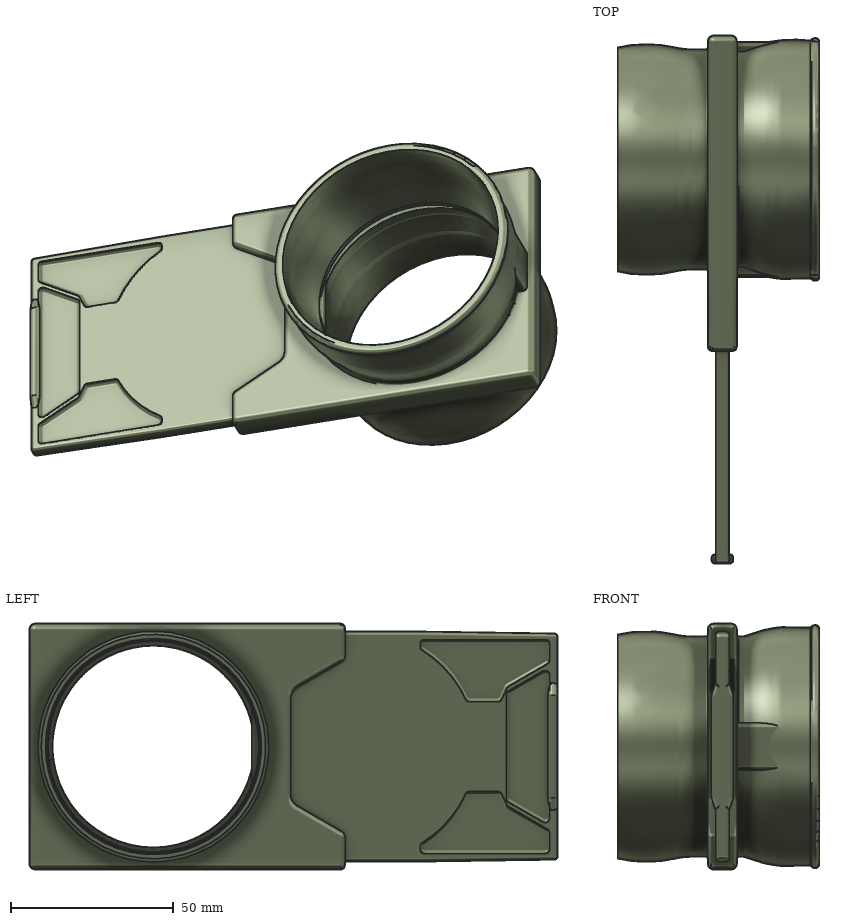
import cadquery as cq
import math


plate_half_thickness = 4.5
plate_half_height = 75.71 / 2
plate_back_y = 38.2
plate_front_y = -58.9
plate_round = 2.0
plate_front_round = 1.5

notch_depth = 16.7
notch_slope = math.radians(30)
notch_mouth_half_height = 26.7
notch_inner_round = 4.0
notch_outer_round = 2.0

bell_wall = 1.5
neck_radius = 33.95
root_round = 0.5
port_radius = 31.0

left_end_x = -32.2
left_end_radius = 34.5
barrel_crest_x = -22.5
barrel_crest_radius = 35.5
barrel_end_x = -14.7
barrel_end_radius = 34.55
flare_mid_x = -12.2
flare_mid_radius = 34.1
flare_end_x = -9.3
left_mouth_radius = 33.2
left_inner_crest_radius = 33.7
inner_barrel_end_x = -20.0
inner_barrel_end_radius = 33.3
inner_flare_end_x = -16.7
left_bore_radius = 32.7
bore_step_start_x = -6.7
bore_step_end_x = -5.5
bore_step_radius = 32.4

bell_start_x = 6.7
bell_crest_x = 22.0
bell_crest_radius = 36.95
right_end_x = left_end_x + 62.01
lip_width = 2.6
lip_radius = 37.4
lip_bead_radius = lip_width / 2
lip_root_round = 0.5
lip_start_x = right_end_x - lip_width

bump_half_height = 7.3
bump_reach = 36.2
bump_round = 1.5
bump_end_x = 20.0
bump_base_y = 30.0

recess_half_height = 4.0
recess_reach = 34.6
recess_end_x = 3.3

gate_half_thickness = 2.1
gate_half_height = 35.4
gate_tip_half_height = 34.8
gate_round = 1.15
gate_corner_round = 1.2
gate_inner_y = -30.2
gate_taper_y = -83.0
gate_outer_y = plate_back_y - 162.52
slot_back_y = 35.2

rail_half_thickness = 3.4
rail_width = 3.0
rail_half_height = 15.8
rail_foot_half_height = 19.6
rail_round = 1.4

pocket_depth = 1.3
pocket_floor_round = 1.2
pocket_corner_round = 1.35
pocket_outer_y = -121.8
side_pocket_inner_y = -82.0
side_pocket_top = 32.9
side_pocket_bottom = 13.8
pocket_arc_center_y = -64.4
pocket_arc_radius = 34.8
side_pocket_bottom_end_y = -106.7
side_pocket_knee = (-108.8, 18.3)
pocket_slope = math.radians(30)
middle_pocket_inner_y = -108.5
middle_pocket_inner_half_height = 16.7


def box(x0, x1, y0, y1, z0, z1):
    return cq.Workplane("XY").box(x1 - x0, y1 - y0, z1 - z0, centered=False).translate((x0, y0, z0))


def bell_height(x):
    """Outer radius of the bell at position x, on the arc through its start and its crest."""
    run = bell_crest_x - bell_start_x
    rise = bell_crest_radius - neck_radius
    arc_radius = (run**2 + rise**2) / (2 * rise)
    return bell_crest_radius - arc_radius + math.sqrt(arc_radius**2 - (x - bell_crest_x) ** 2)


def revolved(profile):
    """Solid of revolution about the pipe axis of a closed profile in the XY plane."""
    return profile.close().revolve(360, (0, 0), (1, 0))


def left_socket():
    return revolved(
        cq.Workplane("XY")
        .moveTo(0, 0)
        .lineTo(0, neck_radius)
        .lineTo(flare_end_x, neck_radius)
        .threePointArc((flare_mid_x, flare_mid_radius), (barrel_end_x, barrel_end_radius))
        .threePointArc((barrel_crest_x, barrel_crest_radius), (left_end_x, left_end_radius))
        .lineTo(left_end_x, 0)
    )


def left_bore():
    inner_crest_x = (left_end_x + inner_barrel_end_x) / 2
    return revolved(
        cq.Workplane("XY")
        .moveTo(0, 0)
        .lineTo(0, bore_step_radius)
        .lineTo(bore_step_end_x, bore_step_radius)
        .lineTo(bore_step_start_x, left_bore_radius)
        .lineTo(inner_flare_end_x, left_bore_radius)
        .lineTo(inner_barrel_end_x, inner_barrel_end_radius)
        .threePointArc((inner_crest_x, left_inner_crest_radius), (left_end_x, left_mouth_radius))
        .lineTo(left_end_x, 0)
    )


def bell():
    """Right-hand neck and bell, running into the middle of the lip."""
    end_x = right_end_x - lip_bead_radius
    middle_x = (bell_start_x + end_x) / 2
    return revolved(
        cq.Workplane("XY")
        .moveTo(0, 0)
        .lineTo(0, neck_radius)
        .lineTo(bell_start_x, neck_radius)
        .threePointArc((middle_x, bell_height(middle_x)), (end_x, bell_height(end_x)))
        .lineTo(end_x, 0)
    )


def bell_bore():
    """Inside of the bell, following its outer arc one wall thickness below it."""
    middle_x = right_end_x / 2
    return revolved(
        cq.Workplane("XY")
        .moveTo(0, 0)
        .lineTo(0, bell_height(0) - bell_wall)
        .threePointArc(
            (middle_x, bell_height(middle_x) - bell_wall), (right_end_x, bell_height(right_end_x) - bell_wall)
        )
        .lineTo(right_end_x, 0)
    )


def lip():
    bead_center = lip_radius - lip_bead_radius
    return revolved(
        cq.Workplane("XY")
        .moveTo(lip_start_x, 0)
        .lineTo(lip_start_x, bead_center)
        .threePointArc((lip_start_x + lip_bead_radius, lip_radius), (right_end_x, bead_center))
        .lineTo(right_end_x, 0)
    )


def x_cylinder(radius, start_x, end_x):
    return cq.Workplane("YZ").workplane(offset=start_x).circle(radius).extrude(end_x - start_x)


def near(point, reach=0.1):
    """Selector for what has its center close to a point."""
    return cq.selectors.BoxSelector(
        tuple(value - reach for value in point), tuple(value + reach for value in point)
    )


def rounded_slab():
    """Plate with rounded back, top and bottom, longer than the housing at the front."""
    slab = box(
        -plate_half_thickness, plate_half_thickness,
        plate_front_y - notch_depth, plate_back_y,
        -plate_half_height, plate_half_height,
    )
    slab = slab.edges("|X and >Y").fillet(plate_round)
    return slab.faces("<X or >X").edges("not <Y").fillet(plate_round)


def notched_front():
    """Prism with the rounded front edge and finger notch, larger than the plate elsewhere."""
    floor_y = plate_front_y + notch_depth
    floor_half_height = notch_mouth_half_height - notch_depth * math.tan(notch_slope)
    back_y = plate_back_y + plate_round
    half_height = plate_half_height + plate_round
    front = (
        cq.Workplane("YZ")
        .polyline([
            (back_y, -half_height),
            (plate_front_y, -half_height),
            (plate_front_y, -notch_mouth_half_height),
            (floor_y, -floor_half_height),
            (floor_y, floor_half_height),
            (plate_front_y, notch_mouth_half_height),
            (plate_front_y, half_height),
            (back_y, half_height),
        ])
        .close()
        .extrude(plate_half_thickness, both=True)
    )
    for side in (1, -1):
        floor_corner = near((0, floor_y, side * floor_half_height))
        mouth_corner = near((0, plate_front_y, side * notch_mouth_half_height))
        front = front.edges("|X").edges(floor_corner).fillet(notch_inner_round)
        front = front.edges("|X").edges(mouth_corner).fillet(notch_outer_round)
    return front.faces("<X or >X").edges("not >Y").fillet(plate_front_round)


def notched_plate():
    plate = rounded_slab().intersect(notched_front())
    return plate.edges("|X and <Y").edges(">Z or <Z").fillet(plate_front_round)


def side_bump(side):
    bump = box(0, bump_end_x, bump_base_y, bump_reach, -bump_half_height, bump_half_height)
    bump = bump.edges("|X and >Y").fillet(bump_round)
    return bump if side > 0 else bump.mirror("XZ")


def side_recess(side):
    recess = box(0, recess_end_x, 0, recess_reach, -recess_half_height, recess_half_height)
    return recess if side > 0 else recess.mirror("XZ")


def gate_blank(inner_y, outer_y):
    """Bar with the cross-section of the slide, with its long edges rounded."""
    blank = box(
        -gate_half_thickness, gate_half_thickness, outer_y, inner_y, -gate_half_height, gate_half_height
    )
    return blank.edges("|Y").fillet(gate_round)


def make_housing():
    housing = notched_plate().union(left_socket()).union(bell()).union(lip())
    for x in (-plate_half_thickness, plate_half_thickness, bell_start_x):
        housing = housing.edges(near((x, 0, 0))).fillet(root_round)
    housing = housing.edges(near((lip_start_x, 0, 0), lip_bead_radius / 2)).fillet(lip_root_round)
    for side in (1, -1):
        housing = housing.union(side_bump(side))

    housing = housing.cut(left_bore())
    housing = housing.cut(x_cylinder(port_radius, 0, bell_start_x))
    housing = housing.cut(bell_bore())
    for side in (1, -1):
        housing = housing.cut(side_recess(side))
    return housing.cut(gate_blank(slot_back_y, gate_outer_y))


def slide_body():
    body = (
        cq.Workplane("YZ")
        .polyline([
            (gate_inner_y, -gate_half_height),
            (gate_inner_y, gate_half_height),
            (gate_taper_y, gate_half_height),
            (gate_outer_y, gate_tip_half_height),
            (gate_outer_y, -gate_tip_half_height),
            (gate_taper_y, -gate_half_height),
        ])
        .close()
        .extrude(gate_half_thickness, both=True)
    )
    body = body.edges("|X and <Y").fillet(gate_corner_round)
    return body.faces("<X or >X").edges().fillet(gate_round)


def grip_rail():
    rail = (
        cq.Workplane("XZ", origin=(0, gate_outer_y + rail_width, 0))
        .polyline([
            (gate_half_thickness, -rail_foot_half_height),
            (rail_half_thickness, -rail_half_height),
            (rail_half_thickness, rail_half_height),
            (gate_half_thickness, rail_foot_half_height),
            (-gate_half_thickness, rail_foot_half_height),
            (-rail_half_thickness, rail_half_height),
            (-rail_half_thickness, -rail_half_height),
            (-gate_half_thickness, -rail_foot_half_height),
        ])
        .close()
        .extrude(rail_width)
    )
    return rail.faces("<Y or >Y").edges().fillet(rail_round)


def pocket_tool(outline):
    """Pocket cutter in the +X face, with rounded corners and a rounded floor edge."""
    tool = outline.extrude(pocket_depth).edges("|X").fillet(pocket_corner_round)
    return tool.faces("<X").edges().fillet(pocket_floor_round)


def pocket_plane():
    return cq.Workplane("YZ", origin=(gate_half_thickness - pocket_depth, 0, 0))


def arc_point(z):
    return (pocket_arc_center_y - math.sqrt(pocket_arc_radius**2 - z**2), z)


def side_pocket():
    arc_top = math.sqrt(pocket_arc_radius**2 - (side_pocket_inner_y - pocket_arc_center_y) ** 2)
    knee_y, knee_z = side_pocket_knee
    outer_corner_z = knee_z + (knee_y - pocket_outer_y) * math.tan(pocket_slope)
    outline = (
        pocket_plane()
        .moveTo(pocket_outer_y, side_pocket_top)
        .lineTo(side_pocket_inner_y, side_pocket_top)
        .lineTo(side_pocket_inner_y, arc_top)
        .threePointArc(arc_point((arc_top + side_pocket_bottom) / 2), arc_point(side_pocket_bottom))
        .lineTo(side_pocket_bottom_end_y, side_pocket_bottom)
        .lineTo(knee_y, knee_z)
        .lineTo(pocket_outer_y, outer_corner_z)
        .close()
    )
    return pocket_tool(outline)


def middle_pocket():
    inner = middle_pocket_inner_half_height
    outer = inner + (middle_pocket_inner_y - pocket_outer_y) * math.tan(pocket_slope)
    outline = (
        pocket_plane()
        .polyline([
            (middle_pocket_inner_y, -inner),
            (middle_pocket_inner_y, inner),
            (pocket_outer_y, outer),
            (pocket_outer_y, -outer),
        ])
        .close()
    )
    return pocket_tool(outline)


def make_slide():
    slide = slide_body().union(grip_rail())
    upper = side_pocket()
    for pocket in (upper, upper.mirror("XY"), middle_pocket()):
        slide = slide.cut(pocket).cut(pocket.mirror("YZ"))
    return slide


housing = make_housing()
slide = make_slide()
result = cq.Compound.makeCompound([housing.val(), slide.val()])